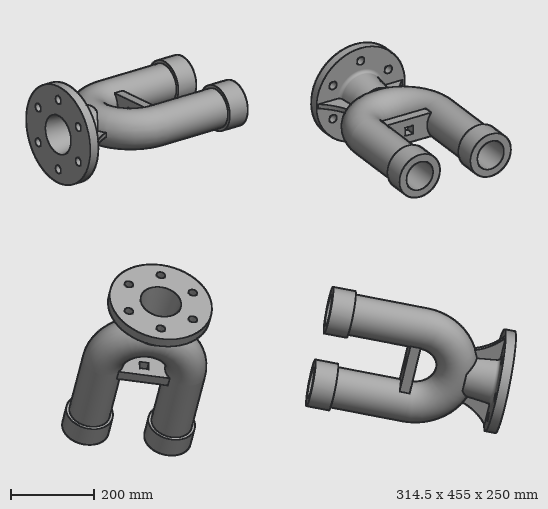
import cadquery as cq

total_length = 455.0
arm_spacing = 200.0
arm_x = arm_spacing / 2
pipe_radius = 99.0 / 2
bore_radius = 75.0 / 2
bend_y = 220.5

collar_radius = 114.5 / 2
collar_length = 55.0

flange_diameter = 250.0
flange_thickness = 25.0
bolt_circle_radius = 180.0 / 2
bolt_hole_diameter = 21.0
bolt_count = 6

neck_base_radius = collar_radius
neck_end_radius = pipe_radius
neck_end_y = 100.0
neck_fillet = 8.5
mouth_radius = pipe_radius

gusset_thickness = 12.0
gusset_foot_x = 119.0
gusset_middle = (84.5, 63.2)
gusset_tip = (70.5, 93.5)
gusset_root = (41.0, neck_end_y)

web_half_width = 62.5
web_thickness = 25.0
web_half_height = (pipe_radius**2 - (arm_x - web_half_width) ** 2) ** 0.5
web_window = 22.0


def cylinder_y(radius, start, end, x=0):
    """Solid cylinder along Y."""
    axis = cq.Vector(0, 1, 0)
    return cq.Workplane(cq.Solid.makeCylinder(radius, end - start, cq.Vector(x, start, 0), axis))


def u_tube(radius):
    """Solid U: a half-ring bend and two straight arms."""
    tube = (
        cq.Workplane("XZ", origin=(arm_x, bend_y, 0))
        .circle(radius)
        .revolve(180, (-arm_x, 4.5, 0), (-arm_x, 0, 0))
    )
    for x in (-arm_x, arm_x):
        tube = tube.union(cylinder_y(radius, bend_y, total_length, x))
    return tube


def neck():
    """Tapered neck with a concave fillet onto the flange."""
    fillet_y = flange_thickness + neck_fillet
    fillet_mid = neck_fillet * (1 - 0.5**0.5)
    return (
        cq.Workplane("XY")
        .moveTo(0, flange_thickness)
        .lineTo(neck_base_radius + neck_fillet, flange_thickness)
        .threePointArc(
            (neck_base_radius + fillet_mid, flange_thickness + fillet_mid),
            (neck_base_radius, fillet_y),
        )
        .lineTo(neck_end_radius, neck_end_y)
        .lineTo(0, neck_end_y)
        .close()
        .revolve(360, (0, 0, 0), (0, 1, 0))
    )


def flange():
    return cylinder_y(flange_diameter / 2, 0, flange_thickness)


def bolt_holes():
    return (
        cq.Workplane("XZ")
        .polarArray(bolt_circle_radius, 90, 360, bolt_count)
        .circle(bolt_hole_diameter / 2)
        .extrude(-flange_thickness)
    )


def gusset():
    """Gusset on the +X side, with a concave outer edge."""
    return (
        cq.Workplane("XY")
        .moveTo(gusset_root[0], flange_thickness)
        .lineTo(gusset_foot_x, flange_thickness)
        .threePointArc(gusset_middle, gusset_tip)
        .lineTo(*gusset_root)
        .close()
        .extrude(gusset_thickness / 2, both=True)
    )


def web():
    """Plate between the arms with a square window through it."""
    return (
        cq.Workplane("XZ", origin=(0, bend_y, 0))
        .rect(2 * web_half_width, 2 * web_half_height)
        .rect(web_window, web_window)
        .extrude(-web_thickness)
    )


def mouth():
    """Tapered inlet narrowing from the flange face to the bore."""
    return cq.Workplane(
        cq.Solid.makeCone(mouth_radius, bore_radius, neck_end_y, cq.Vector(0, 0, 0), cq.Vector(0, 1, 0))
    )


body = u_tube(pipe_radius).union(flange()).union(neck()).union(web())
for x in (-arm_x, arm_x):
    body = body.union(cylinder_y(collar_radius, total_length - collar_length, total_length, x))
body = body.union(gusset()).union(gusset().mirror("YZ"))

result = body.cut(u_tube(bore_radius)).cut(mouth()).cut(bolt_holes())